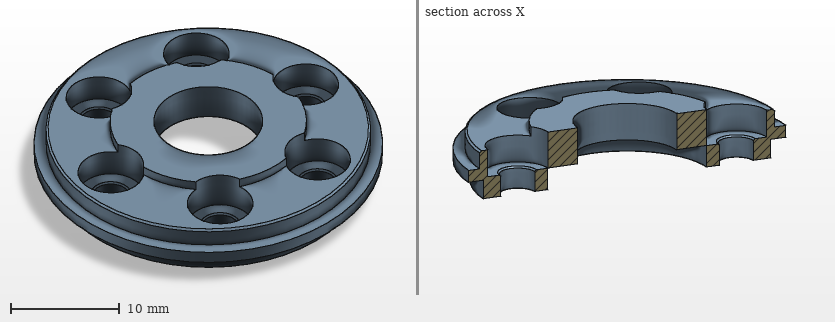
import cadquery as cq

spigot_diameter = 29.0
spigot_height = 1.8
flange_diameter = 32.0
flange_height = 1.2
body_diameter = 29.8
body_height = 1.73
body_chamfer = 0.2
boss_diameter = 18.0
boss_height = 0.9

bore_diameter = 10.0
recess_diameter = 16.0
recess_depth = 2.08

screw_count = 6
screw_circle_diameter = 22.0
screw_hole_diameter = 3.4
screw_chamfer = 0.15
counterbore_diameter = 6.0
counterbore_floor = 2.1

flange_top = spigot_height + flange_height
body_top = flange_top + body_height
total_height = body_top + boss_height


def disc(diameter, bottom, height):
    """Upright cylinder on the central axis."""
    return cq.Workplane("XY").workplane(offset=bottom).circle(diameter / 2).extrude(height)


def screw_hole_cutter():
    """Through hole, chamfered at its mouth, opening into a flat counterbore."""
    hole_radius = screw_hole_diameter / 2
    counterbore_radius = counterbore_diameter / 2
    return (
        cq.Workplane("XZ")
        .moveTo(0, 0)
        .lineTo(hole_radius, 0)
        .lineTo(hole_radius, counterbore_floor - screw_chamfer)
        .lineTo(hole_radius + screw_chamfer, counterbore_floor)
        .lineTo(counterbore_radius, counterbore_floor)
        .lineTo(counterbore_radius, total_height)
        .lineTo(0, total_height)
        .close()
        .revolve(360, (0, 0, 0), (0, 1, 0))
    )


spigot = disc(spigot_diameter, 0, spigot_height)
flange = disc(flange_diameter, spigot_height, flange_height)
body = disc(body_diameter, flange_top, body_height).faces(">Z").edges().chamfer(body_chamfer)
boss = disc(boss_diameter, body_top, boss_height)
bore = disc(bore_diameter, 0, total_height)
recess = disc(recess_diameter, 0, recess_depth)

result = spigot.union(flange).union(body).union(boss).cut(bore).cut(recess)

for index in range(screw_count):
    cutter = screw_hole_cutter().translate((0, screw_circle_diameter / 2, 0))
    angle = index * 360 / screw_count
    result = result.cut(cutter.rotate((0, 0, 0), (0, 0, 1), angle))